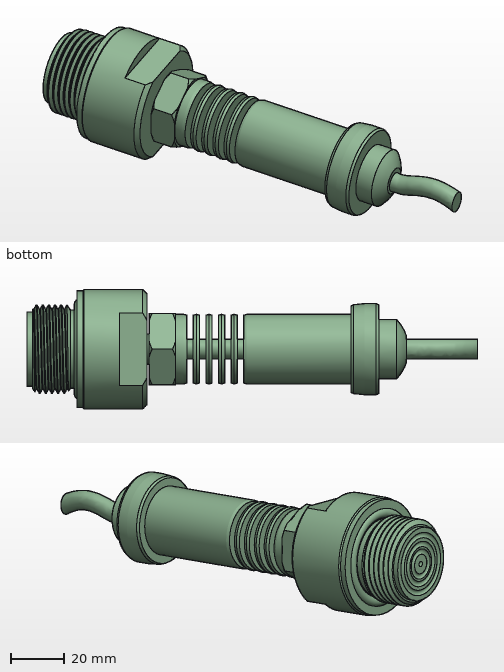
import cadquery as cq
import math


total_length = 169.2
thread_start = 2.0
thread_end = 16.4
flange_start = 18.8
step_end = 21.0
flange_end = 45.2
hex_start = 45.9
hex_end = 55.8
collar_end = 60.0
tube_end = 121.7
cap_end = 132.2
gland_end = 142.5

nose_dia = 28.0
undercut_dia = 29.5
thread_dia = 33.2
thread_root_dia = 30.3
thread_turns = 6.25
thread_pitch = (thread_end - thread_start) / thread_turns
thread_lead_in = 1.4
thread_flat = 0.15 * thread_pitch
thread_overcut = 0.08
thread_runout = 1.2
thread_crest_x = 10.0
flange_dia = 45.0
step_dia = 44.0
step_bevel_length = 0.5
flange_chamfer = 1.7
wrench_flat_width = 35.9
wrench_flat_start = 34.9

corrugation_radii = [4.7, 7.6, 11.0]
corrugation_width = 2.0
corrugation_depth = 0.5

seal_ring_dia = 33.7
seal_cord_radius = 2.0
seal_protrusion = 1.0
seal_center_x = flange_start - seal_protrusion + seal_cord_radius

stub_dia = 11.5
hex_across_flats = 26.9
hex_across_corners = hex_across_flats / math.cos(math.pi / 6)
hex_chamfer_length = 1.2
hex_chamfer_depth = 1.44
barrel_dia = 26.2
bevel_dia = 25.5
bevel_length = 1.2
core_dia = 7.5
fin_count = 4
fin_width = 2 * bevel_length
fin_gap = 2.4
fin_pitch = fin_width + fin_gap
tube_start = collar_end + fin_count * fin_pitch + fin_gap

cap_dia = 34.4
cap_front_dia = 33.5
cap_bevel_length = 1.0
cap_bevel_depth = 0.5
cap_rim_start = 127.0

gland_dia = 22.3
dome_radius = 16.0
dome_center_x = 127.3
dome_start = dome_center_x + math.sqrt(dome_radius**2 - (gland_dia / 2) ** 2)
gland_tip_radius = math.sqrt(dome_radius**2 - (gland_end - dome_center_x) ** 2)
dome_mid_angle = math.radians(32)
cable_dia = 7.5
cable_overrun = 1.4
cable_path = [
    (gland_end, -0.5),
    (145.9, -0.5),
    (152.3, 1.4),
    (160.1, 2.5),
    (total_length, 0.0),
    (total_length + cable_overrun, -0.7),
]


def revolve_about_x(outline):
    """Turn a closed (x, radius) outline about the X axis."""
    return outline.revolve(360, (0, 0, 0), (1, 0, 0))


def turned(points):
    """Turned body whose outer profile is the given (x, diameter) pairs."""
    first_x = points[0][0]
    last_x = points[-1][0]
    profile = [(x, dia / 2) for x, dia in points]
    return revolve_about_x(cq.Workplane("XY").polyline([(first_x, 0), *profile, (last_x, 0)]).close())


def make_seal_ring():
    """Round-cord ring half sunk into the flange face."""
    center = cq.Vector(seal_center_x, 0, 0)
    axis = cq.Vector(1, 0, 0)
    return cq.Workplane(cq.Solid.makeTorus(seal_ring_dia / 2, seal_cord_radius, center, axis))


def make_thread_groove():
    """Right-handed helical V groove with a narrow flat root, placed so that a crest faces +Z."""
    root_radius = thread_root_dia / 2
    mouth_radius = thread_dia / 2 + thread_overcut
    flank_slope = (thread_pitch / 2 - thread_flat) / (thread_dia / 2 - root_radius)
    root_half = thread_flat / 2
    mouth_half = root_half + flank_slope * (mouth_radius - root_radius)
    turns_before_crest = math.ceil((thread_crest_x - thread_start) / thread_pitch) + 0.5
    start_x = thread_crest_x - turns_before_crest * thread_pitch
    length = thread_end + thread_runout - start_x

    helix = cq.Wire.makeHelix(thread_pitch, length, root_radius)
    groove = (
        cq.Workplane("XZ")
        .polyline(
            [
                (root_radius, root_half),
                (mouth_radius, mouth_half),
                (mouth_radius, -mouth_half),
                (root_radius, -root_half),
            ]
        )
        .close()
        .sweep(cq.Workplane(helix), isFrenet=True)
    )
    return (
        groove.rotate((0, 0, 0), (0, 1, 0), 90)
        .rotate((0, 0, 0), (1, 0, 0), 180)
        .translate((start_x, 0, 0))
    )


def make_thread():
    """Grooved cylinder trimmed to tapered ends."""
    grooved = turned([(0, thread_dia), (flange_start, thread_dia)]).cut(make_thread_groove())
    envelope = turned(
        [
            (thread_start, undercut_dia),
            (thread_start + thread_lead_in, thread_dia),
            (thread_end - thread_lead_in, thread_dia),
            (thread_end, undercut_dia),
        ]
    )
    return grooved.intersect(envelope)


def make_corrugation(radius):
    """Shallow ring of arc section to cut into the face at X = 0; at radius 0 it is a conical dimple."""
    inner = max(radius - corrugation_width / 2, 0)
    outer = radius + corrugation_width / 2
    outline = cq.Workplane("XY").moveTo(0, outer)
    if radius > 0:
        outline = outline.threePointArc((corrugation_depth, radius), (0, inner))
    else:
        outline = outline.lineTo(corrugation_depth, 0).lineTo(0, 0)
    return revolve_about_x(outline.close())


def make_wrench_flat_cut(side):
    """Block that removes the flange beyond one wrench flat, on the +Z or -Z side."""
    return (
        cq.Workplane("XY")
        .box(flange_end - wrench_flat_start, flange_dia, flange_dia, centered=(False, True, True))
        .translate((wrench_flat_start, 0, side * (wrench_flat_width + flange_dia) / 2))
    )


def make_fitting(seal_ring):
    fitting = turned(
        [
            (0, nose_dia),
            (thread_start, nose_dia),
            (thread_start, undercut_dia),
            (flange_start, undercut_dia),
            (flange_start, step_dia),
            (step_end, step_dia),
            (step_end + step_bevel_length, flange_dia),
            (flange_end - flange_chamfer, flange_dia),
            (flange_end, flange_dia - 2 * flange_chamfer),
        ]
    )
    fitting = fitting.union(make_thread())
    for radius in [0, *corrugation_radii]:
        fitting = fitting.cut(make_corrugation(radius))
    for side in (-1, 1):
        fitting = fitting.cut(make_wrench_flat_cut(side))
    return fitting.cut(seal_ring)


def make_hexagon():
    """Hexagon with flats facing +Y and -Y and both ends chamfered by a cone."""
    prism = (
        cq.Workplane("YZ", origin=(hex_start, 0, 0))
        .polygon(6, hex_across_corners)
        .extrude(hex_end - hex_start)
        .rotate((0, 0, 0), (1, 0, 0), 90)
    )
    end_dia = hex_across_corners - 2 * hex_chamfer_depth
    envelope = turned(
        [
            (hex_start, end_dia),
            (hex_start + hex_chamfer_length, hex_across_corners),
            (hex_end - hex_chamfer_length, hex_across_corners),
            (hex_end, end_dia),
        ]
    )
    return prism.intersect(envelope)


def make_fin(start_x):
    return turned(
        [
            (start_x, bevel_dia),
            (start_x + fin_width / 2, barrel_dia),
            (start_x + fin_width, bevel_dia),
        ]
    )


def make_radiator():
    stub = turned([(flange_end, stub_dia), (hex_start, stub_dia)])
    collar = turned(
        [
            (hex_end, barrel_dia),
            (collar_end - bevel_length, barrel_dia),
            (collar_end, bevel_dia),
        ]
    )
    core = turned([(collar_end, core_dia), (tube_start, core_dia)])
    radiator = stub.union(make_hexagon()).union(collar).union(core)
    for index in range(fin_count):
        radiator = radiator.union(make_fin(collar_end + fin_gap + index * fin_pitch))
    return radiator


def make_tube():
    return turned(
        [
            (tube_start, bevel_dia),
            (tube_start + bevel_length, barrel_dia),
            (tube_end, barrel_dia),
        ]
    )


def make_cap():
    return turned(
        [
            (tube_end, cap_front_dia - 2 * cap_bevel_depth),
            (tube_end + cap_bevel_length, cap_front_dia),
            (cap_rim_start, cap_dia),
            (cap_end - cap_bevel_length, cap_dia),
            (cap_end, cap_dia - 2 * cap_bevel_depth),
        ]
    )


def make_gland():
    """Short cylinder ending in a spherical dome with a flat tip."""
    dome_mid = (
        dome_center_x + dome_radius * math.cos(dome_mid_angle),
        dome_radius * math.sin(dome_mid_angle),
    )
    return revolve_about_x(
        cq.Workplane("XY")
        .moveTo(cap_end, 0)
        .lineTo(cap_end, gland_dia / 2)
        .lineTo(dome_start, gland_dia / 2)
        .threePointArc(dome_mid, (gland_end, gland_tip_radius))
        .lineTo(gland_end, 0)
        .close()
    )


def make_cable():
    """Wavy cable in the XZ plane, cut square to X at its free end."""
    path = cq.Workplane("XZ").spline(cable_path)
    start_x, start_z = cable_path[0]
    cable = cq.Workplane("YZ", origin=(start_x, 0, start_z)).circle(cable_dia / 2).sweep(path)
    trim = cq.Workplane("YZ", origin=(start_x, 0, 0)).circle(gland_dia / 2).extrude(total_length - start_x)
    return cable.intersect(trim)


seal_ring = make_seal_ring()
fitting = make_fitting(seal_ring)
radiator = make_radiator()
tube = make_tube()
cap = make_cap()
gland = make_gland()
cable = make_cable()

bodies = [fitting, seal_ring, radiator, tube, cap, gland, cable]
result = cq.Compound.makeCompound([body.solids().val() for body in bodies])